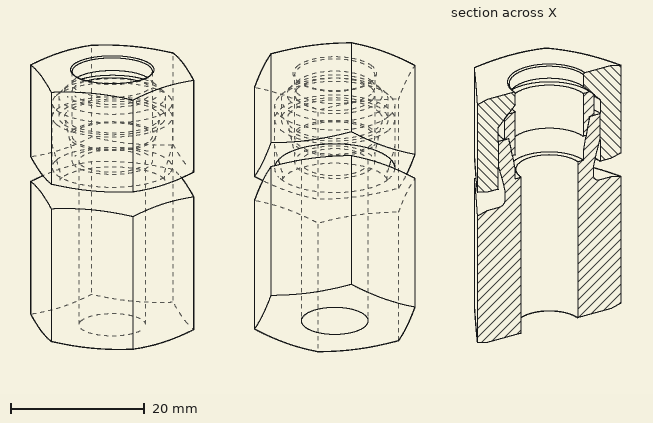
import cadquery as cq
import math

across_flats = 22.0
across_corners = across_flats / math.cos(math.radians(30))
hex_chamfer_angle = 15.0

body_hex_height = 22.0
nut_gap = 3.0
nut_height = 15.5
nut_bottom = body_hex_height + nut_gap
nut_top = nut_bottom + nut_height

flow_bore_diameter = 10.0
shank_diameter = 18.0
undercut_diameter = 15.7
undercut_fillet = 1.0
undercut_top = 24.4
undercut_runout_angle = 15.0
shank_top = 33.0

tube_diameter = 12.0
socket_depth = 7.0
socket_mouth_diameter = 14.3
mouth_half_angle = 12.0

tube_hole_chamfer = 0.25
tube_hole_depth = 2.25
seat_top = nut_top - tube_hole_depth
seat_half_angle = 45.0

ring_collar_diameter = 16.0
ring_nose_diameter = 13.0
ring_top_diameter = 14.3


def cone_length(large_diameter, small_diameter, half_angle):
    """Axial length of a cone between two diameters."""
    return (large_diameter - small_diameter) / 2 / math.tan(math.radians(half_angle))


def revolve_about_z(profile):
    """Full turn of a closed profile drawn as (radius, height) in the XZ plane."""
    return profile.close().revolve(360, (0, 0, 0), (0, 1, 0))


def chamfered_hexagon(bottom, height):
    """Hexagonal prism, flats facing +X and -X, corners turned off at both ends."""
    top = bottom + height
    flat_radius = across_flats / 2
    corner_radius = across_corners / 2
    drop = (corner_radius - flat_radius) * math.tan(math.radians(hex_chamfer_angle))
    prism = (
        cq.Workplane("XY", origin=(0, 0, bottom))
        .transformed(rotate=(0, 0, 30))
        .polygon(6, across_corners)
        .extrude(height)
    )
    turned_blank = revolve_about_z(
        cq.Workplane("XZ")
        .moveTo(0, bottom)
        .lineTo(flat_radius, bottom)
        .lineTo(corner_radius, bottom + drop)
        .lineTo(corner_radius, top - drop)
        .lineTo(flat_radius, top)
        .lineTo(0, top)
    )
    return prism.intersect(turned_blank)


def make_fitting_body():
    """Hexagon with an undercut shank, a tube socket and a narrower through bore."""
    undercut_radius = undercut_diameter / 2
    shank_radius = shank_diameter / 2
    runout_top = undercut_top + cone_length(shank_diameter, undercut_diameter, undercut_runout_angle)
    shank = revolve_about_z(
        cq.Workplane("XZ")
        .moveTo(0, body_hex_height)
        .lineTo(undercut_radius + undercut_fillet, body_hex_height)
        .radiusArc((undercut_radius, body_hex_height + undercut_fillet), undercut_fillet)
        .lineTo(undercut_radius, undercut_top)
        .lineTo(shank_radius, runout_top)
        .lineTo(shank_radius, shank_top)
        .lineTo(0, shank_top)
    )
    bore_radius = flow_bore_diameter / 2
    tube_radius = tube_diameter / 2
    tube_stop = shank_top - socket_depth
    mouth_bottom = shank_top - cone_length(socket_mouth_diameter, tube_diameter, mouth_half_angle)
    hollow = revolve_about_z(
        cq.Workplane("XZ")
        .moveTo(0, 0)
        .lineTo(bore_radius, 0)
        .lineTo(bore_radius, tube_stop)
        .lineTo(tube_radius, tube_stop)
        .lineTo(tube_radius, mouth_bottom)
        .lineTo(socket_mouth_diameter / 2, shank_top)
        .lineTo(0, shank_top)
    )
    return chamfered_hexagon(0, body_hex_height).union(shank).cut(hollow)


def make_union_nut():
    """Hexagon nut with a bore for the shank, a conical seat and a tube hole."""
    bore_radius = shank_diameter / 2
    hole_radius = tube_diameter / 2
    seat_bottom = seat_top - cone_length(shank_diameter, tube_diameter, seat_half_angle)
    hollow = revolve_about_z(
        cq.Workplane("XZ")
        .moveTo(0, nut_bottom)
        .lineTo(bore_radius, nut_bottom)
        .lineTo(bore_radius, seat_bottom)
        .lineTo(hole_radius, seat_top)
        .lineTo(hole_radius, nut_top - tube_hole_chamfer)
        .lineTo(hole_radius + tube_hole_chamfer, nut_top)
        .lineTo(0, nut_top)
    )
    return chamfered_hexagon(nut_bottom, nut_height).cut(hollow)


def make_cutting_ring():
    """Ring with a tapered nose in the socket mouth and a collar under the nut seat."""
    bore_radius = tube_diameter / 2
    collar_radius = ring_collar_diameter / 2
    nose_bottom = shank_top - cone_length(socket_mouth_diameter, ring_nose_diameter, mouth_half_angle)
    collar_top = seat_top - cone_length(ring_collar_diameter, tube_diameter, seat_half_angle)
    ring_top = seat_top - cone_length(ring_top_diameter, tube_diameter, seat_half_angle)
    return revolve_about_z(
        cq.Workplane("XZ")
        .moveTo(bore_radius, nose_bottom)
        .lineTo(ring_nose_diameter / 2, nose_bottom)
        .lineTo(socket_mouth_diameter / 2, shank_top)
        .lineTo(collar_radius, shank_top)
        .lineTo(collar_radius, collar_top)
        .lineTo(ring_top_diameter / 2, ring_top)
        .lineTo(bore_radius, ring_top)
    )


fitting_body = make_fitting_body()
union_nut = make_union_nut()
cutting_ring = make_cutting_ring()

result = cq.Compound.makeCompound([fitting_body.val(), union_nut.val(), cutting_ring.val()])